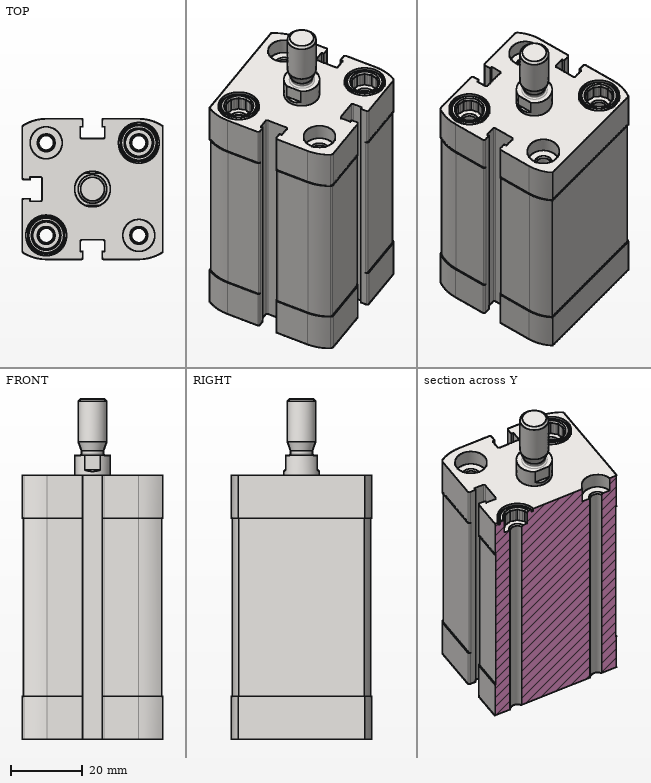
import cadquery as cq
import math

total_height = 95.5
housing_width = 39.5
housing_height = 74.1
cap_height = 12.0
barrel_inset = 0.3

corner_radius = 12.5
corner_center_x = 12.9
corner_blend_radius = 1.0

slot_mouth_width = 5.35
slot_inner_width = 6.8
slot_lip_depth = 2.3
slot_depth = 5.5
slot_lip_round = 0.5
slot_floor_round = 0.4

hole_offset = 13.0
hole_diameter = 4.1
countersink_diameter = 5.0
counterbore_diameter = 9.0
counterbore_depth = 4.8

groove_diameter = 11.5
groove_depth = 1.0
collar_diameter = 10.5
collar_chamfer = 0.4
socket_mouth_diameter = 8.3
socket_mouth_depth = 0.7
socket_diameter = 7.5
notch_tip_diameter = 8.0
notch_count = 12
notch_half_angle = 8.5

rod_diameter = 10.0
rod_collar_height = 5.5
flat_width = 9.0
flat_length = 4.0
thread_diameter = 8.0
thread_length = 12.0
thread_chamfer = 0.7
neck_diameter = 6.2
neck_cone_height = 2.6
neck_fillet = 0.5

half_width = housing_width / 2


def outline_prism(inset, bottom, height):
    """Prism with large arcs at the corners, its outline moved inward by inset."""
    half = half_width - inset
    radius = corner_radius - inset
    center_y = half_width - corner_radius
    arc_end_y = center_y + math.sqrt(radius**2 - (half - corner_center_x) ** 2)
    mid_angle = (math.pi / 2 + math.atan2(arc_end_y - center_y, half - corner_center_x)) / 2
    mid_x = corner_center_x + radius * math.cos(mid_angle)
    mid_y = center_y + radius * math.sin(mid_angle)
    prism = (
        cq.Workplane("XY", origin=(0, 0, bottom))
        .moveTo(-corner_center_x, half)
        .lineTo(corner_center_x, half)
        .threePointArc((mid_x, mid_y), (half, arc_end_y))
        .lineTo(half, -arc_end_y)
        .threePointArc((mid_x, -mid_y), (corner_center_x, -half))
        .lineTo(-corner_center_x, -half)
        .threePointArc((-mid_x, -mid_y), (-half, -arc_end_y))
        .lineTo(-half, arc_end_y)
        .threePointArc((-mid_x, mid_y), (-corner_center_x, half))
        .close()
        .extrude(height)
    )
    return prism.edges("|Z and <X").fillet(corner_blend_radius - inset)


def slot_cutter(angle, inset, bottom, height):
    """T-slot open towards +Y, turned about Z by angle; its mouth is rounded at the housing side."""
    side = half_width - inset
    mouth = slot_mouth_width / 2
    inner = slot_inner_width / 2
    lip = half_width - slot_lip_depth
    floor = half_width - slot_depth
    bulge = slot_lip_round * (1 - math.sqrt(0.5))
    return (
        cq.Workplane("XY", origin=(0, 0, bottom))
        .moveTo(-inner, floor)
        .lineTo(inner, floor)
        .lineTo(inner, lip)
        .lineTo(mouth, lip)
        .lineTo(mouth, side - slot_lip_round)
        .threePointArc((mouth + bulge, side - bulge), (mouth + slot_lip_round, side))
        .lineTo(-mouth - slot_lip_round, side)
        .threePointArc((-mouth - bulge, side - bulge), (-mouth, side - slot_lip_round))
        .lineTo(-mouth, lip)
        .lineTo(-inner, lip)
        .lineTo(-inner, floor)
        .close()
        .extrude(height)
        .edges("|Z and <Y")
        .fillet(slot_floor_round)
        .rotate((0, 0, 0), (0, 0, 1), angle)
    )


def housing_section(inset, bottom, height):
    """Length of housing with T-slots in the +Y, -X and -Y sides."""
    section = outline_prism(inset, bottom, height)
    for angle in (0, 90, 180):
        section = section.cut(slot_cutter(angle, inset, bottom, height))
    return section


def revolved(points):
    """Solid turned about Z from (radius, z) points."""
    return cq.Workplane("XZ").polyline(points).close().revolve(360, (0, 0, 0), (0, 1, 0))


def screw_hole_cutter():
    """Through hole with a countersink at the counterbore floor."""
    seat = housing_height - counterbore_depth
    hole_radius = hole_diameter / 2
    sink_radius = countersink_diameter / 2
    return revolved([
        (0, 0),
        (hole_radius, 0),
        (hole_radius, seat - (sink_radius - hole_radius)),
        (sink_radius, seat),
        (0, seat),
    ])


def counterbore_cutter():
    """Plain counterbore."""
    return (
        cq.Workplane("XY", origin=(0, 0, housing_height - counterbore_depth))
        .circle(counterbore_diameter / 2)
        .extrude(counterbore_depth)
    )


def socket_cutter():
    """Socket with V-notches in its wall, inside a chamfered collar that is ringed by a groove."""
    top = housing_height
    seat = top - counterbore_depth
    mouth_bottom = top - socket_mouth_depth
    socket = revolved([
        (0, seat),
        (socket_diameter / 2, seat),
        (socket_diameter / 2, mouth_bottom),
        (socket_mouth_diameter / 2, top),
        (0, top),
    ])
    groove = revolved([
        (collar_diameter / 2, top - groove_depth),
        (groove_diameter / 2, top - groove_depth),
        (groove_diameter / 2, top),
        (collar_diameter / 2 - collar_chamfer, top),
        (collar_diameter / 2, top - collar_chamfer),
    ])
    base_x = socket_diameter / 2 * math.cos(math.radians(notch_half_angle))
    base_y = socket_diameter / 2 * math.sin(math.radians(notch_half_angle))
    notch = (
        cq.Workplane("XY", origin=(0, 0, seat))
        .polyline([(0, 0), (base_x, -base_y), (notch_tip_diameter / 2, 0), (base_x, base_y)])
        .close()
        .extrude(mouth_bottom - seat)
    )
    for index in range(notch_count):
        socket = socket.union(notch.rotate((0, 0, 0), (0, 0, 1), index * 360 / notch_count))
    return socket.union(groove)


def make_housing():
    """Barrel between two caps, with T-slots and four mounting holes."""
    barrel_height = housing_height - 2 * cap_height
    housing = (
        housing_section(0, 0, cap_height)
        .union(housing_section(barrel_inset, cap_height, barrel_height))
        .union(housing_section(0, housing_height - cap_height, cap_height))
    )
    for side_x in (-1, 1):
        for side_y in (-1, 1):
            place = (side_x * hole_offset, side_y * hole_offset, 0)
            seat_cutter = socket_cutter() if side_x == side_y else counterbore_cutter()
            housing = housing.cut(screw_hole_cutter().translate(place))
            housing = housing.cut(seat_cutter.translate(place))
    return housing


def flat_cutter(side_y):
    """Wrench flat on the rod collar, ending in a 45 degree run-out."""
    collar_top = housing_height + rod_collar_height
    flat_bottom = collar_top - flat_length
    flat_y = flat_width / 2
    runout = (rod_diameter - flat_width) / 2
    return (
        cq.Workplane("YZ")
        .moveTo(side_y * flat_y, collar_top)
        .lineTo(side_y * flat_y, flat_bottom)
        .lineTo(side_y * (flat_y + runout), flat_bottom - runout)
        .lineTo(side_y * (flat_y + runout), collar_top)
        .close()
        .extrude(rod_diameter / 2, both=True)
    )


def make_rod():
    """Rod end standing on the housing: collar with two flats, neck and thread."""
    collar_top = housing_height + rod_collar_height
    thread_bottom = total_height - thread_length
    thread_radius = thread_diameter / 2
    neck_radius = neck_diameter / 2
    fillet_dip = neck_fillet * (1 - math.sqrt(0.5))
    rod = (
        cq.Workplane("XZ")
        .moveTo(0, housing_height)
        .lineTo(rod_diameter / 2, housing_height)
        .lineTo(rod_diameter / 2, collar_top)
        .lineTo(neck_radius + neck_fillet, collar_top)
        .threePointArc(
            (neck_radius + fillet_dip, collar_top + fillet_dip),
            (neck_radius, collar_top + neck_fillet),
        )
        .lineTo(neck_radius, thread_bottom - neck_cone_height)
        .lineTo(thread_radius, thread_bottom)
        .lineTo(thread_radius, total_height - thread_chamfer)
        .lineTo(thread_radius - thread_chamfer, total_height)
        .lineTo(0, total_height)
        .close()
        .revolve(360, (0, 0, 0), (0, 1, 0))
    )
    for side_y in (-1, 1):
        rod = rod.cut(flat_cutter(side_y))
    return rod


housing = make_housing()
rod = make_rod()
result = cq.Compound.makeCompound([housing.val(), rod.val()])